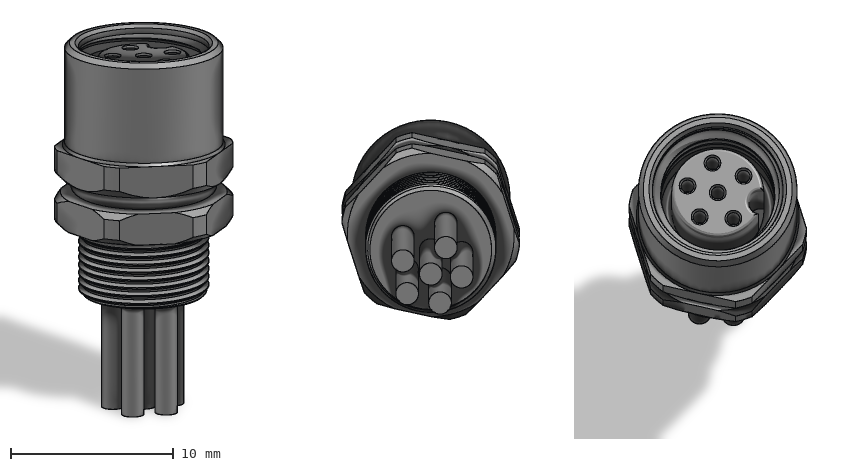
import cadquery as cq
import math

total_height = 23.2
thread_bottom = 7.25
nut_bottom = 11.72
hex_height = 2.0
seal_thickness = 1.0
nut_top = nut_bottom + hex_height
flange_bottom = nut_top + seal_thickness
flange_top = flange_bottom + hex_height

across_flats = 10.0
corner_diameter = 11.0
flange_chamfer_radius = across_flats / 2
nut_chamfer_radius = 5.13

shell_radius = 4.87
shell_chamfer = 0.3
foot_height = 0.19

thread_diameter = 8.0
outer_pitch = thread_diameter / 16
outer_root_radius = 3.74
crest_flat = 0.07
flank_angle = 30.0

entry_radius = 4.01
entry_chamfer = 0.2
entry_depth = 0.55
bore_radius = 3.5
inner_pitch = thread_diameter / 8
inner_root_flat = 0.15
inner_groove_start = 19.93
socket_floor = 18.21

insert_radius = 2.83
insert_top = 22.39
insert_fillet = 0.2
key_radius = 0.72
key_offset = 2.7

contact_circle_radius = 1.9
lower_contact_angle = -22.8
upper_contact_angle = 43.3
contact_angles = [
    -90.0,
    lower_contact_angle,
    upper_contact_angle,
    180.0 - upper_contact_angle,
    180.0 - lower_contact_angle,
]
contact_radius = 0.4
contact_countersink = 0.12
contact_depth = 2.78
drill_tip_height = 0.23
wire_radius = 0.7

overlap = 0.07


def turned(points):
    """Solid of revolution about Z from (radius, height) points."""
    return cq.Workplane("XZ").polyline(points).close().revolve(360, (0, 0), (0, 1))


def cylinder(radius, bottom, top):
    """Upright cylinder on the Z axis between two heights."""
    return cq.Workplane("XY").workplane(offset=bottom).circle(radius).extrude(top - bottom)


def contact_points():
    """Centres of the contacts, the middle one first."""
    around = [
        (
            contact_circle_radius * math.cos(math.radians(angle)),
            contact_circle_radius * math.sin(math.radians(angle)),
        )
        for angle in contact_angles
    ]
    return [(0.0, 0.0)] + around


def hexagon(bottom, chamfer_radius, chamfer_top):
    """Hexagon with flats facing +X and -X, its corners turned and chamfered at 45 degrees."""
    top = bottom + hex_height
    corner_radius = corner_diameter / 2
    chamfer = corner_radius - chamfer_radius
    outline = [(0, bottom), (chamfer_radius, bottom), (corner_radius, bottom + chamfer)]
    if chamfer_top:
        outline += [(corner_radius, top - chamfer), (chamfer_radius, top)]
    else:
        outline += [(corner_radius, top)]
    outline += [(0, top)]
    prism = (
        cq.Workplane("XY")
        .workplane(offset=bottom)
        .polygon(6, across_flats, circumscribed=True)
        .extrude(hex_height)
    )
    return prism.intersect(turned(outline))


def helical_bar(pitch, start, height, inner_radius, inner_width, outer_radius, outer_width):
    """Bar of trapezoid section wound right-handed about Z, starting on the +X side."""
    path = cq.Wire.makeHelix(pitch, height, inner_radius)
    section = [
        (inner_radius, -inner_width / 2),
        (outer_radius, -outer_width / 2),
        (outer_radius, outer_width / 2),
        (inner_radius, inner_width / 2),
    ]
    bar = cq.Workplane("XZ").polyline(section).close().sweep(cq.Workplane(path), isFrenet=True)
    return bar.translate((0, 0, start))


def flank_spread(depth):
    """Extra width that both flanks together gain over a radial depth."""
    return 2 * depth * math.tan(math.radians(flank_angle))


def threaded_stem():
    crest_radius = thread_diameter / 2
    base_radius = outer_root_radius - overlap
    depth = crest_radius - base_radius
    top = nut_bottom + outer_pitch
    start = thread_bottom - outer_pitch
    ridge = helical_bar(
        outer_pitch, start, top + outer_pitch - start,
        base_radius, crest_flat + flank_spread(depth), crest_radius, crest_flat,
    )
    end_chamfer = crest_radius - outer_root_radius
    envelope = turned([
        (0, thread_bottom),
        (outer_root_radius, thread_bottom),
        (crest_radius + overlap, thread_bottom + end_chamfer + overlap),
        (crest_radius + overlap, top),
        (0, top),
    ])
    return cylinder(outer_root_radius, thread_bottom, top).union(ridge.intersect(envelope))


def seal_ring():
    """O-ring squeezed between nut and flange, filled in to the axis."""
    centre_radius = thread_diameter / 2
    bulge = seal_thickness / 2
    return (
        cq.Workplane("XZ")
        .moveTo(0, nut_top)
        .lineTo(centre_radius, nut_top)
        .threePointArc((centre_radius + bulge, nut_top + bulge), (centre_radius, flange_bottom))
        .lineTo(0, flange_bottom)
        .close()
        .revolve(360, (0, 0), (0, 1))
    )


def shell():
    return turned([
        (0, flange_top),
        (across_flats / 2, flange_top),
        (shell_radius, flange_top + foot_height),
        (shell_radius, total_height - shell_chamfer),
        (shell_radius - shell_chamfer, total_height),
        (0, total_height),
    ])


def socket():
    """Bore to remove from the shell, with its stepped entry and thread groove."""
    entry_floor = total_height - entry_depth
    bore = turned([
        (0, socket_floor),
        (bore_radius, socket_floor),
        (bore_radius, entry_floor - (entry_radius - bore_radius)),
        (entry_radius, entry_floor),
        (entry_radius, total_height - entry_chamfer),
        (entry_radius + entry_chamfer, total_height),
        (0, total_height),
    ])
    groove_radius = thread_diameter / 2
    inside_radius = bore_radius - overlap
    groove = helical_bar(
        inner_pitch, inner_groove_start, total_height - inner_groove_start,
        inside_radius, inner_root_flat + flank_spread(groove_radius - inside_radius),
        groove_radius, inner_root_flat,
    )
    return bore.union(groove)


def contact_insert():
    key = cylinder(key_radius, socket_floor, insert_top).translate((0, key_offset, 0))
    body = cylinder(insert_radius, socket_floor, insert_top).cut(key)
    body = body.faces(">Z").edges().fillet(insert_fillet)
    hole = turned([
        (0, insert_top - contact_depth - drill_tip_height),
        (contact_radius, insert_top - contact_depth),
        (contact_radius, insert_top - contact_countersink),
        (contact_radius + contact_countersink, insert_top),
        (0, insert_top),
    ])
    for x, y in contact_points():
        body = body.cut(hole.translate((x, y, 0)))
    return body


def socket_seal():
    """Half-round sealing ring that fills the floor between insert and bore."""
    width = bore_radius - insert_radius
    return (
        cq.Workplane("XZ")
        .moveTo(insert_radius, socket_floor)
        .threePointArc(
            (insert_radius + width / 2, socket_floor + width / 2), (bore_radius, socket_floor)
        )
        .close()
        .revolve(360, (0, 0), (0, 1))
    )


def wires():
    return (
        cq.Workplane("XY")
        .pushPoints(contact_points())
        .circle(wire_radius)
        .extrude(thread_bottom + overlap)
    )


result = (
    shell()
    .union(hexagon(flange_bottom, flange_chamfer_radius, chamfer_top=False))
    .cut(socket())
    .union(contact_insert())
    .union(socket_seal())
    .union(seal_ring())
    .union(hexagon(nut_bottom, nut_chamfer_radius, chamfer_top=True))
    .union(threaded_stem())
    .union(wires())
)